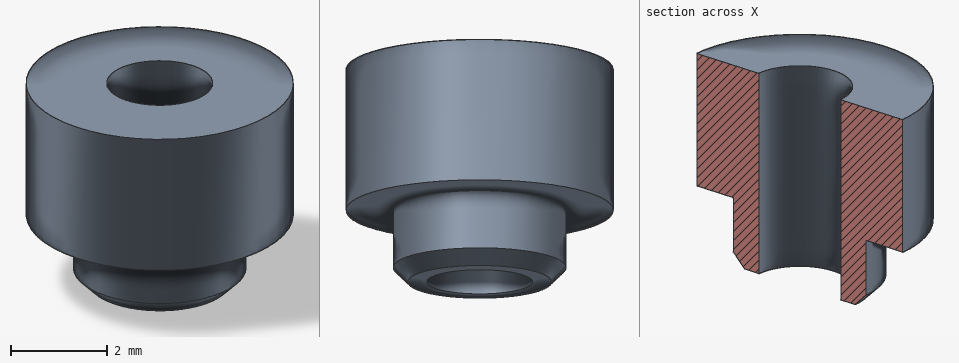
import cadquery as cq

head_diameter = 5.56
shank_diameter = 3.6
bore_diameter = 2.2
total_height = 4.53
head_height = 3.0
chamfer_size = 0.305

shank_height = total_height - head_height

shank = (
    cq.Workplane("XY")
    .circle(shank_diameter / 2)
    .extrude(shank_height)
    .faces("<Z")
    .chamfer(chamfer_size)
)

head = (
    cq.Workplane("XY")
    .workplane(offset=shank_height)
    .circle(head_diameter / 2)
    .extrude(head_height)
)

bore = cq.Workplane("XY").circle(bore_diameter / 2).extrude(total_height)

result = shank.union(head).cut(bore)